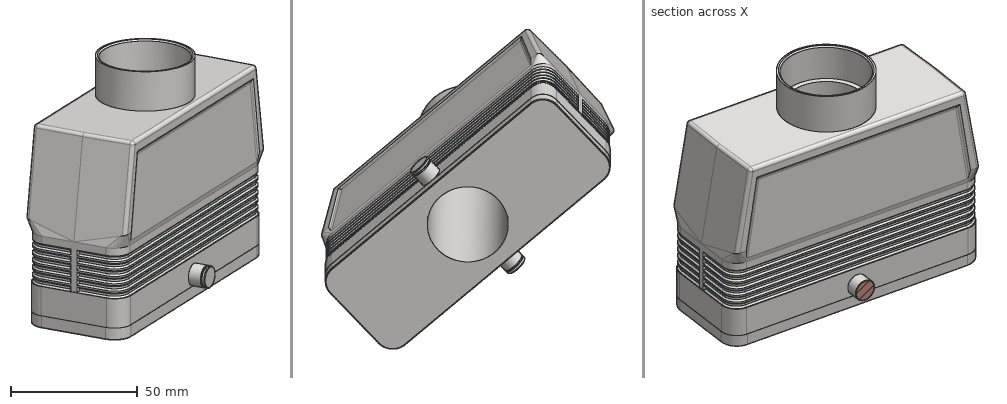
import cadquery as cq

LENGTH = 120.0
PIN_SPAN = 58.0
HEIGHT = 97.8

RIM_WIDTH = 43.5
RIM_TOP = 5.2
RIM_CORNER = 7.5
RIM_EDGE_CHAMFER = 0.4
BAND_STEP = 0.1
BAND_CORNER = 7.1
UPPER_WIDTH = 42.7
UPPER_LENGTH = 119.3
UPPER_CORNER = 7.0
SKIRT_TOP = 38.4

GROOVE_BOTTOM = 17.4
GROOVE_TOP = 35.2
GROOVE_COUNT = 6
GROOVE_DEPTH = 0.7
GROOVE_LAND = 0.7
RIB_WIDTH = 2.6

HOOD_WIDTH = 44.9
HOOD_ROOF = 81.4
ROOF_LENGTH = 104.2
END_CREASE = 0.5
HOOD_FILLET = 1.5
FLARE_TOP = 44.3

PANEL_DEPTH = 0.7
PANEL_TOP = 76.5
PANEL_TOP_LENGTH = 97.0
PANEL_LOW_LENGTH = 109.0
PANEL_BORDER_ANGLE = 60.0
PANEL_BORDER_FILLET = 1.8

COLLAR_RADIUS = 19.7
COUNTERBORE_RADIUS = 18.2
COUNTERBORE_FLOOR = 82.8
COUNTERBORE_CHAMFER = 0.6
BORE_RADIUS = 16.0

PIN_RADIUS = 4.5
PIN_HEIGHT = 9.7
PIN_TIP_CHAMFER = 0.4
PIN_GROOVE_START = 1.3
PIN_GROOVE_WIDTH = 0.6
PIN_GROOVE_DEPTH = 0.2

OVERLAP = 1.2


def rounded_block(width, length, corner, bottom, height, taper=0):
    """Block with rounded upright corners; a taper leans its walls inward."""
    outline = cq.Sketch().rect(width, length).vertices().fillet(corner)
    return cq.Workplane("XY", origin=(0, 0, bottom)).placeSketch(outline).extrude(height, taper=taper)


def make_grooved_band():
    """Upper skirt band with sloping-sided finger grooves, left whole along a rib at each end."""
    band = rounded_block(UPPER_WIDTH, UPPER_LENGTH, UPPER_CORNER, GROOVE_BOTTOM, SKIRT_TOP - GROOVE_BOTTOM)
    pitch = (GROOVE_TOP - GROOVE_BOTTOM + GROOVE_LAND) / GROOVE_COUNT
    opening = pitch - GROOVE_LAND
    core_width = UPPER_WIDTH - 2 * GROOVE_DEPTH
    core_length = UPPER_LENGTH - 2 * GROOVE_DEPTH
    core_corner = UPPER_CORNER - GROOVE_DEPTH
    for index in range(GROOVE_COUNT):
        bottom = GROOVE_BOTTOM + index * pitch
        lower_flank = rounded_block(UPPER_WIDTH, UPPER_LENGTH, UPPER_CORNER, bottom, GROOVE_DEPTH, 45)
        upper_flank = lower_flank.mirror("XY", (0, 0, bottom + opening / 2))
        core = rounded_block(core_width, core_length, core_corner, bottom, opening)
        ring = rounded_block(UPPER_WIDTH + OVERLAP, UPPER_LENGTH + OVERLAP, UPPER_CORNER, bottom, opening)
        band = band.cut(ring.cut(core).cut(lower_flank).cut(upper_flank))

    half_rib = RIB_WIDTH / 2
    rib_spread = half_rib + GROOVE_DEPTH
    rib_height = GROOVE_TOP - GROOVE_BOTTOM
    for side in (-1, 1):
        outer = side * UPPER_LENGTH / 2
        inner = outer - side * GROOVE_DEPTH
        rib_root = outer - side * 2 * GROOVE_DEPTH
        rib = (
            cq.Workplane("XY", origin=(0, 0, GROOVE_BOTTOM))
            .polyline([
                (-half_rib, outer),
                (half_rib, outer),
                (rib_spread, inner),
                (rib_spread, rib_root),
                (-rib_spread, rib_root),
                (-rib_spread, inner),
            ])
            .close()
            .extrude(rib_height)
        )
        band = band.union(rib)
    return band


def make_skirt():
    rim = rounded_block(RIM_WIDTH, LENGTH, RIM_CORNER, 0, RIM_TOP)
    rim = rim.faces("<Z").edges().chamfer(RIM_EDGE_CHAMFER)
    plain_band = rounded_block(
        RIM_WIDTH - BAND_STEP, LENGTH - BAND_STEP, BAND_CORNER, RIM_TOP, GROOVE_BOTTOM - RIM_TOP
    )
    return rim.union(plain_band).union(make_grooved_band())


def hood_half_length(height):
    """Half length of the hood along its middle, at a given height."""
    fraction = (height - SKIRT_TOP) / (HOOD_ROOF - SKIRT_TOP)
    return (UPPER_LENGTH + fraction * (ROOF_LENGTH - UPPER_LENGTH)) / 2


def hood_outline(height):
    """Six-sided section of the hood, pointed along the middle of both ends."""
    half_width = HOOD_WIDTH / 2
    tip = hood_half_length(height)
    corner = tip - END_CREASE
    return [
        (0, -tip),
        (half_width, -corner),
        (half_width, corner),
        (0, tip),
        (-half_width, corner),
        (-half_width, -corner),
    ]


def make_hood():
    """Hood with its lower edge rising in a V from the middle of each end."""
    hood = (
        cq.Workplane("XY", origin=(0, 0, SKIRT_TOP))
        .polyline(hood_outline(SKIRT_TOP))
        .close()
        .workplane(offset=HOOD_ROOF - SKIRT_TOP)
        .polyline(hood_outline(HOOD_ROOF))
        .close()
        .loft(ruled=True)
    )
    half_width = HOOD_WIDTH / 2
    roof_edges = hood.faces(">Z").edges()
    corner_edges = hood.faces(">X or <X").edges("not #Z")
    hood = hood.newObject(roof_edges.vals() + corner_edges.vals()).fillet(HOOD_FILLET)
    v_profile = (
        cq.Workplane("XZ", origin=(0, LENGTH / 2, 0))
        .moveTo(0, SKIRT_TOP)
        .lineTo(half_width, FLARE_TOP)
        .lineTo(half_width, HOOD_ROOF)
        .lineTo(-half_width, HOOD_ROOF)
        .lineTo(-half_width, FLARE_TOP)
        .close()
        .extrude(LENGTH)
    )
    return hood.intersect(v_profile)


def make_flare():
    """Transition from the rounded skirt to the sharper corners of the hood."""
    skirt_outline = cq.Sketch().rect(UPPER_WIDTH, UPPER_LENGTH).vertices().fillet(UPPER_CORNER)
    corner_length = 2 * (hood_half_length(FLARE_TOP) - END_CREASE)
    hood_corners = cq.Sketch().rect(HOOD_WIDTH, corner_length).vertices().fillet(HOOD_FILLET)
    return (
        cq.Workplane("XY", origin=(0, 0, SKIRT_TOP))
        .placeSketch(skirt_outline, hood_corners.moved(cq.Location(cq.Vector(0, 0, FLARE_TOP - SKIRT_TOP))))
        .loft(ruled=True)
    )


def make_panel_recess():
    """Cutter for the panel on the -X side; it runs out through the flare below."""
    cutter = (
        cq.Workplane("YZ", origin=(-HOOD_WIDTH / 2, 0, 0))
        .polyline([
            (-PANEL_LOW_LENGTH / 2, SKIRT_TOP),
            (PANEL_LOW_LENGTH / 2, SKIRT_TOP),
            (PANEL_TOP_LENGTH / 2, PANEL_TOP),
            (-PANEL_TOP_LENGTH / 2, PANEL_TOP),
        ])
        .close()
        .extrude(PANEL_DEPTH, taper=PANEL_BORDER_ANGLE)
    )
    return cutter.faces(">X").edges().fillet(PANEL_BORDER_FILLET)


def make_pin():
    """Pin on the +X side, turned about its own axis."""
    root = UPPER_WIDTH / 2 - OVERLAP
    tip = PIN_SPAN / 2
    groove_outer = tip - PIN_GROOVE_START
    groove_inner = groove_outer - PIN_GROOVE_WIDTH
    groove_radius = PIN_RADIUS - PIN_GROOVE_DEPTH
    profile = [
        (root, 0),
        (root, PIN_RADIUS),
        (groove_inner, PIN_RADIUS),
        (groove_inner, groove_radius),
        (groove_outer, groove_radius),
        (groove_outer, PIN_RADIUS),
        (tip - PIN_TIP_CHAMFER, PIN_RADIUS),
        (tip, PIN_RADIUS - PIN_TIP_CHAMFER),
        (tip, 0),
    ]
    pin = cq.Workplane("XZ").polyline(profile).close().revolve(360, (0, 0, 0), (1, 0, 0))
    return pin.translate((0, 0, PIN_HEIGHT))


def cylinder(radius, bottom, top):
    return cq.Workplane("XY", origin=(0, 0, bottom)).circle(radius).extrude(top - bottom)


body = make_skirt().union(make_flare()).union(make_hood())

recess = make_panel_recess()
body = body.cut(recess).cut(recess.mirror("YZ"))

body = body.union(cylinder(COLLAR_RADIUS, HOOD_ROOF - OVERLAP, HEIGHT))
counterbore = cylinder(COUNTERBORE_RADIUS, COUNTERBORE_FLOOR, HEIGHT)
mouth = (
    cq.Workplane("XY", origin=(0, 0, HEIGHT))
    .circle(COUNTERBORE_RADIUS + COUNTERBORE_CHAMFER)
    .extrude(-COUNTERBORE_CHAMFER, taper=45)
)
body = body.cut(counterbore).cut(mouth).cut(cylinder(BORE_RADIUS, 0, HEIGHT))

pin = make_pin()
result = body.union(pin).union(pin.mirror("YZ"))